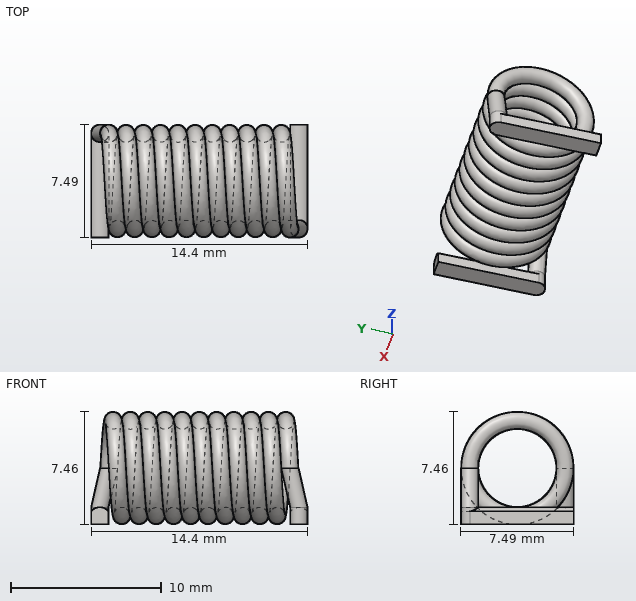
import cadquery as cq

overall_length = 14.36
coil_wire_diameter = 1.13
coil_radius = 3.166
coil_length = 12.02
turns = 10.5

lead_diameter = 1.16
foot_bottom = -3.73
foot_height = 1.13
foot_side_height = 0.86
foot_tip = coil_radius + lead_diameter / 2

foot_top = foot_bottom + foot_height
coil_start = -coil_length / 2
lead_x = -(overall_length - lead_diameter) / 2


def make_coil():
    helix = cq.Wire.makeHelix(coil_length / turns, coil_length, coil_radius)
    path = helix.moved(cq.Location(cq.Plane.YZ(origin=(coil_start, 0, 0))))
    section = cq.Workplane("XY").center(coil_start, coil_radius).circle(coil_wire_diameter / 2)
    return section.sweep(cq.Workplane(obj=path), isFrenet=True)


def make_leg():
    """Slanted round leg joining the coil end to the top of the post."""
    return (
        cq.Workplane("XY", origin=(lead_x, coil_radius, foot_top))
        .circle(lead_diameter / 2)
        .workplane(offset=-foot_top)
        .center(coil_start - lead_x, 0)
        .circle(lead_diameter / 2)
        .loft(ruled=True)
    )


def make_foot():
    """Crowned bar along Y, running from the post to the far side of the coil."""
    half_width = lead_diameter / 2
    return (
        cq.Workplane("XZ", origin=(lead_x, coil_radius, foot_bottom))
        .moveTo(-half_width, 0)
        .lineTo(half_width, 0)
        .lineTo(half_width, foot_side_height)
        .threePointArc((0, foot_height), (-half_width, foot_side_height))
        .close()
        .extrude(coil_radius + foot_tip)
    )


def make_lead():
    post = (
        cq.Workplane("XY", origin=(lead_x, coil_radius, foot_bottom))
        .circle(lead_diameter / 2)
        .extrude(foot_height)
    )
    return post.union(make_leg()).union(make_foot())


lead = make_lead()
opposite_lead = lead.rotate((0, 0, 0), (0, 0, 1), 180)
result = make_coil().union(lead).union(opposite_lead)